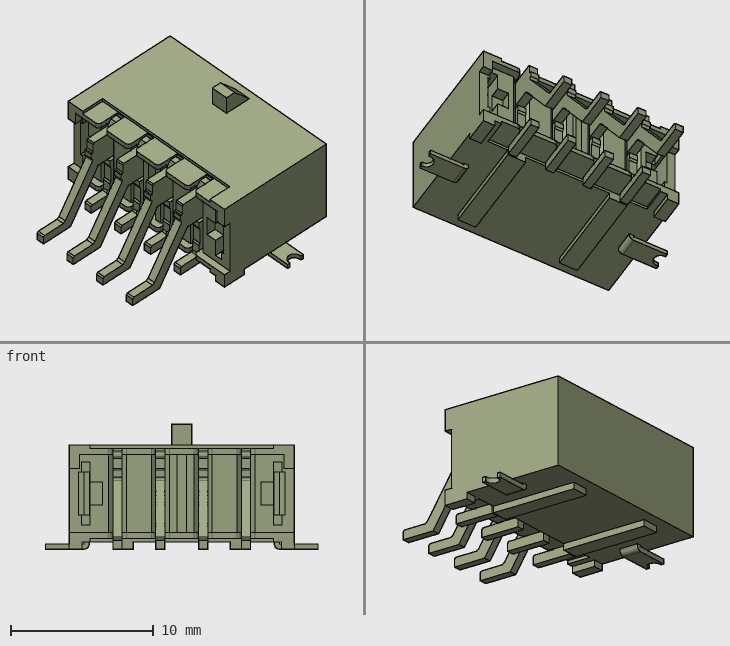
import cadquery as cq


body_width = 15.78
body_depth = 9.91
body_bottom = 0.5
body_top = 7.32
foot_width = 0.92

wall_y = 0.55
flange_bottom = 6.65
lower_flange_top = 1.17
corner_width = 0.75
corner_bottom = 5.67

step_width = 12.84
step_depth = 1.93
step_height = 0.25

groove_width = 0.69
groove_depth = 0.78

latch_width = 1.43
latch_height = 8.77 - body_top
latch_front_y = 7.1
latch_ridge_y = 7.9
latch_back_y = 9.32

rail_inner_x = 3.38
rail_outer_x = 4.81
rail_back_y = 8.98

pitch = 3.0
pin_count = 4
pin_width = 0.65
slot_back_y = 1.83
slot_flare = 0.3
pin_thickness = 0.73
foot_chamfer = 0.11
long_tip_y = -5.98
short_tip_y = -1.34
shoulder_top = 6.45
shoulder_bottom = 4.09
shoulder_front_y = -1.15
hump_top = 6.9
hump_front_y = 1.2
leg_foot_y = -3.85
leg_heel_y = -3.35
leg_throat_y = -0.57
shoulder_step_z = 5.54
leg_top_z = 5.06
post_top = 3.78
post_front_y = 0.48
post_setback = 0.1
post_ledge_z = 1.72
nose_bottom = 3.29

nail_end_x = 9.55
nail_width = 1.53
nail_front_y = 4.55
nail_back_y = nail_front_y + nail_width
nail_thickness = 0.38
nail_inner_x = 6.47
nail_top = 5.42
notch_radius = 0.52
notch_depth = 0.63
pocket_inner_x = 6.42
pocket_outer_x = 7.03
pocket_back_y = 1.91
pocket_bottom = 1.7
pocket_top = 6.11
nail_slot_outer_x = 7.22
nail_slot_bottom = 2.39
window_inner_x = 5.55
window_bottom = 3.11
window_top = 4.7


def block(x_min, x_max, y_min, y_max, z_min, z_max):
    """Box given by its limits along each axis."""
    box = cq.Workplane("XY").box(x_max - x_min, y_max - y_min, z_max - z_min, centered=False)
    return box.translate((x_min, y_min, z_min))


def centred_block(width, y_min, y_max, z_min, z_max):
    """Box centred on x = 0."""
    return block(-width / 2, width / 2, y_min, y_max, z_min, z_max)


def both_sides(shape):
    """The shape together with its mirror image across x = 0."""
    return shape.union(shape.mirror("YZ"))


def side_profile(points, width):
    """Outline of (y, z) points extruded symmetrically about x = 0."""
    return cq.Workplane("YZ").polyline(points).close().extrude(width / 2, both=True)


def pin_row(shape):
    """One copy of the shape at each terminal position."""
    row = cq.Workplane("XY")
    for index in range(pin_count):
        x = (index - (pin_count - 1) / 2) * pitch
        row = row.add(shape.translate((x, 0, 0)).vals())
    return row.combine()


def housing_block():
    """Main block with corner feet and standoff rails."""
    half = body_width / 2
    body = centred_block(body_width, 0, body_depth, body_bottom, body_top)
    foot = block(-half, foot_width - half, 0, step_depth, 0, body_bottom)
    rail = block(-rail_outer_x, -rail_inner_x, step_depth, rail_back_y, 0, body_bottom)
    return body.union(both_sides(foot)).union(both_sides(rail))


def wall_cuts():
    """Set-back wall, top and bottom steps and the middle groove."""
    inner_width = body_width - 2 * corner_width
    setback = centred_block(inner_width, 0, wall_y, lower_flange_top, flange_bottom)
    side_setback = centred_block(body_width, 0, wall_y, lower_flange_top, corner_bottom)
    top_step = centred_block(step_width, 0, step_depth, body_top - step_height, body_top)
    bottom_step = centred_block(step_width, 0, step_depth, body_bottom, body_bottom + step_height)
    groove_back_y = wall_y + groove_depth
    groove = centred_block(groove_width, wall_y, groove_back_y, lower_flange_top, flange_bottom)
    return setback.union(side_setback).union(top_step).union(bottom_step).union(groove)


def terminal_slot():
    """Vertical slot, rounded out at the flange faces and flared at the set-back wall."""
    half = pin_width / 2
    flared = half + slot_flare
    flare_y = wall_y + slot_flare
    height = body_top - body_bottom
    slot = centred_block(pin_width, 0, slot_back_y, body_bottom, body_top)
    mouth = (
        cq.Workplane("XY", origin=(0, 0, body_bottom))
        .moveTo(-flared, 0)
        .radiusArc((-half, slot_flare), -slot_flare)
        .lineTo(half, slot_flare)
        .radiusArc((flared, 0), -slot_flare)
        .close()
        .extrude(height)
    )
    flare = (
        cq.Workplane("XY", origin=(0, 0, lower_flange_top))
        .polyline([(-flared, wall_y), (-half, flare_y), (half, flare_y), (flared, wall_y)])
        .close()
        .extrude(flange_bottom - lower_flange_top)
    )
    return slot.union(mouth).union(flare)


def nail_pocket():
    """Stepped pocket in the wall in front of the left solder nail."""
    window_back_y = wall_y + groove_depth
    wide = block(-pocket_outer_x, -pocket_inner_x, wall_y, pocket_back_y, pocket_bottom, pocket_top)
    deep = block(-nail_slot_outer_x, -pocket_inner_x, wall_y, nail_back_y, nail_slot_bottom, nail_top)
    window = block(-pocket_inner_x, -window_inner_x, wall_y, window_back_y, window_bottom, window_top)
    return wide.union(deep).union(window)


def latch():
    """Ramp that locks the mating plug."""
    ridge_z = body_top + latch_height
    points = [
        (latch_front_y, body_top),
        (latch_front_y, ridge_z),
        (latch_ridge_y, ridge_z),
        (latch_back_y, body_top),
    ]
    return side_profile(points, latch_width)


def upper_terminal():
    """Upper terminal: hump in the slot, shoulder, sloping leg and foot."""
    shoulder = [
        (slot_back_y, shoulder_bottom),
        (slot_back_y, hump_top - 0.13),
        (slot_back_y - 0.08, hump_top),
        (hump_front_y, hump_top),
        (hump_front_y - 0.1, hump_top - 0.13),
        (hump_front_y - 0.21, hump_top - 0.3),
        (hump_front_y - 0.32, shoulder_top),
        (shoulder_front_y + 0.08, shoulder_top),
        (shoulder_front_y, shoulder_top - 0.11),
        (shoulder_front_y, shoulder_step_z + 0.11),
        (shoulder_front_y - 0.08, shoulder_step_z),
        (short_tip_y, shoulder_step_z),
        (short_tip_y, leg_top_z),
    ]
    notch_middle = (short_tip_y + 0.13, leg_top_z - 0.13)
    notch_end = (short_tip_y + 0.1, leg_top_z - 0.25)
    leg = [
        (leg_foot_y, pin_thickness + 0.13),
        (leg_foot_y - 0.2, pin_thickness),
        (long_tip_y + foot_chamfer, pin_thickness),
        (long_tip_y, pin_thickness - foot_chamfer),
        (long_tip_y, 0),
        (leg_heel_y, 0),
        (leg_throat_y - 0.13, shoulder_bottom - 0.08),
        (leg_throat_y, shoulder_bottom),
    ]
    outline = (
        cq.Workplane("YZ")
        .polyline(shoulder)
        .threePointArc(notch_middle, notch_end)
        .polyline(leg, includeCurrent=True)
        .close()
    )
    return outline.extrude(pin_width / 2, both=True)


def lower_terminal():
    """Lower terminal: nosed post in the slot and a short foot."""
    points = [
        (slot_back_y, 0),
        (slot_back_y, post_top),
        (post_front_y, post_top),
        (post_front_y, nose_bottom),
        (post_front_y + post_setback, nose_bottom - 0.2),
        (post_front_y + post_setback, post_ledge_z + 0.08),
        (post_front_y, post_ledge_z - 0.08),
        (post_front_y, pin_thickness + foot_chamfer),
        (post_front_y - foot_chamfer, pin_thickness),
        (short_tip_y + foot_chamfer, pin_thickness),
        (short_tip_y, pin_thickness - foot_chamfer),
        (short_tip_y, 0),
    ]
    return side_profile(points, pin_width)


def solder_nail():
    """Left solder nail: flat tab with a notched end, bent up into the housing."""
    outer_x = -nail_inner_x - nail_thickness
    nail = (
        cq.Workplane("XZ", origin=(0, nail_back_y, 0))
        .moveTo(-nail_end_x, 0)
        .lineTo(outer_x, 0)
        .radiusArc((-nail_inner_x, nail_thickness), -nail_thickness)
        .lineTo(-nail_inner_x, nail_top)
        .lineTo(outer_x, nail_top)
        .lineTo(outer_x, nail_thickness)
        .lineTo(-nail_end_x, nail_thickness)
        .close()
        .extrude(nail_width)
    )
    notch_y = nail_front_y + nail_width / 2
    centre_x = -nail_end_x + notch_depth - notch_radius
    notch = cq.Workplane("XY").center(centre_x, notch_y).circle(notch_radius).extrude(nail_thickness)
    mouth = block(
        -nail_end_x, centre_x, notch_y - notch_radius, notch_y + notch_radius, 0, nail_thickness
    )
    return nail.cut(notch).cut(mouth)


housing = housing_block().cut(wall_cuts()).cut(pin_row(terminal_slot())).cut(both_sides(nail_pocket()))
terminals = pin_row(upper_terminal()).union(pin_row(lower_terminal()))
result = housing.union(latch()).union(terminals).union(both_sides(solder_nail()))